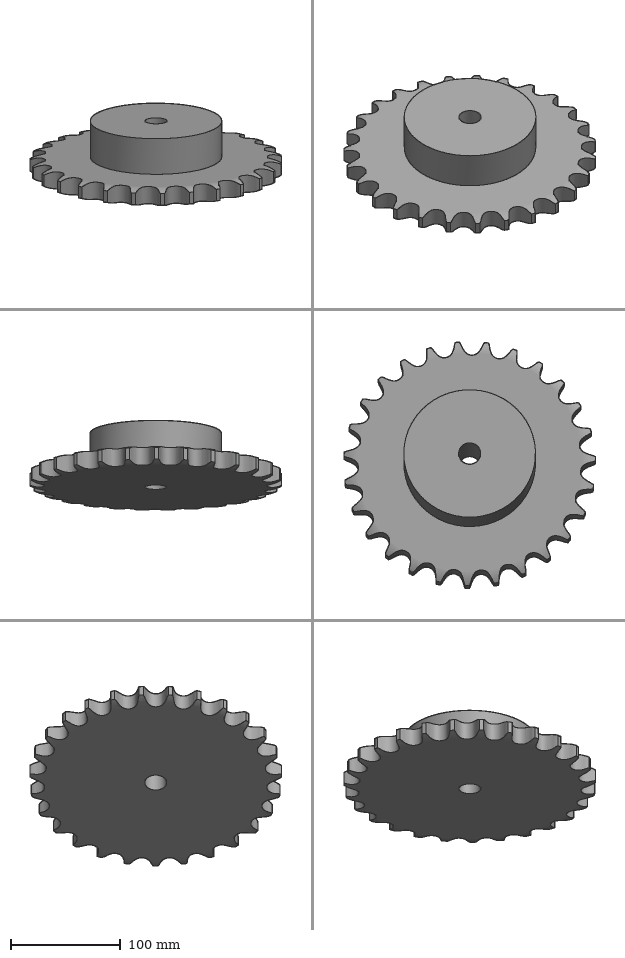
import cadquery as cq
import math

tooth_count = 27
outer_diameter = 229.6
root_diameter = 202.8
plate_thickness = 16.3
total_height = 50.0
hub_diameter = 120.0
bore_diameter = 20.0

seating_radius = 8.0
working_radius = 20.6
straight_flank_length = 2.0
topping_radius = 13.0
seating_sweep = math.radians(55 - 60 / tooth_count)
working_sweep = math.radians(18 - 56 / tooth_count)

face_diameter = 206.5
side_round_radius = 25.5

outer_radius = outer_diameter / 2
root_radius = root_diameter / 2
face_radius = face_diameter / 2
half_pitch_angle = math.pi / tooth_count


def step(point, length, heading):
    """Move from a point along a heading measured from the tangent at the gap bottom."""
    return (point[0] + length * math.cos(heading), point[1] + length * math.sin(heading))


def arc_point(start, heading, radius, sweep):
    """Point reached along an arc; a positive sweep turns left and a negative one right."""
    chord = 2 * radius * math.sin(abs(sweep) / 2)
    return step(start, chord, heading + sweep / 2)


def topping_sweep(start, heading):
    """Angle along the topping arc from its start to the outer circle."""
    center = step(start, topping_radius, heading - math.pi / 2)
    center_distance = math.hypot(*center)
    center_angle = math.atan2(center[1], center[0])
    cosine = (outer_radius**2 - topping_radius**2 - center_distance**2) / (
        2 * topping_radius * center_distance
    )
    end_direction = center_angle + math.acos(cosine)
    return heading + math.pi / 2 - end_direction


def half_gap_points():
    """Right half of the gap centred on +Y, from the end of the seating arc to the tooth tip."""
    bottom = (0.0, root_radius)
    seating_end = arc_point(bottom, 0, seating_radius, seating_sweep)
    flank_heading = seating_sweep + working_sweep
    working_middle = arc_point(seating_end, seating_sweep, working_radius, working_sweep / 2)
    working_end = arc_point(seating_end, seating_sweep, working_radius, working_sweep)
    flank_end = step(working_end, straight_flank_length, flank_heading)
    sweep = topping_sweep(flank_end, flank_heading)
    topping_middle = arc_point(flank_end, flank_heading, topping_radius, -sweep / 2)
    tip = arc_point(flank_end, flank_heading, topping_radius, -sweep)
    return [seating_end, working_middle, working_end, flank_end, topping_middle, tip]


def turn(point, angle):
    """Rotate a point clockwise about the origin."""
    x, y = point
    return (
        x * math.cos(angle) + y * math.sin(angle),
        y * math.cos(angle) - x * math.sin(angle),
    )


def toothed_plate():
    """Flat plate with the tooth gaps spaced evenly, one of them on +Y."""
    right_half = half_gap_points()
    left_half = [(-x, y) for x, y in right_half]
    outline = cq.Workplane("XY").moveTo(*left_half[-1])
    for index in range(tooth_count):
        gap_angle = 2 * half_pitch_angle * index
        next_gap_angle = gap_angle + 2 * half_pitch_angle
        bottom = turn((0.0, root_radius), gap_angle)
        crest = turn((0.0, outer_radius), gap_angle + half_pitch_angle)
        next_tip = turn(left_half[-1], next_gap_angle)
        left_seat, left_work_mid, left_work, left_flank, left_top_mid, _ = [
            turn(point, gap_angle) for point in left_half
        ]
        right_seat, right_work_mid, right_work, right_flank, right_top_mid, right_tip = [
            turn(point, gap_angle) for point in right_half
        ]
        outline = (
            outline.threePointArc(left_top_mid, left_flank)
            .lineTo(*left_work)
            .threePointArc(left_work_mid, left_seat)
            .threePointArc(bottom, right_seat)
            .threePointArc(right_work_mid, right_work)
            .lineTo(*right_flank)
            .threePointArc(right_top_mid, right_tip)
            .threePointArc(crest, next_tip)
        )
    return outline.close().extrude(plate_thickness)


def rounded_disc():
    """Disc whose rim curves in on both faces, used to round the tooth sides."""

    def drop_at(radius):
        reach = radius - face_radius
        return side_round_radius - math.sqrt(side_round_radius**2 - reach**2)

    middle_radius = (face_radius + outer_radius) / 2
    rim_drop = drop_at(outer_radius)
    middle_drop = drop_at(middle_radius)
    return (
        cq.Workplane("XZ")
        .lineTo(face_radius, 0)
        .threePointArc((middle_radius, middle_drop), (outer_radius, rim_drop))
        .lineTo(outer_radius, plate_thickness - rim_drop)
        .threePointArc(
            (middle_radius, plate_thickness - middle_drop), (face_radius, plate_thickness)
        )
        .lineTo(0, plate_thickness)
        .close()
        .revolve(360, (0, 0, 0), (0, 1, 0))
    )


hub = cq.Workplane("XY").circle(hub_diameter / 2).extrude(total_height)
bore = cq.Workplane("XY").circle(bore_diameter / 2).extrude(total_height)

result = toothed_plate().intersect(rounded_disc()).union(hub).cut(bore)